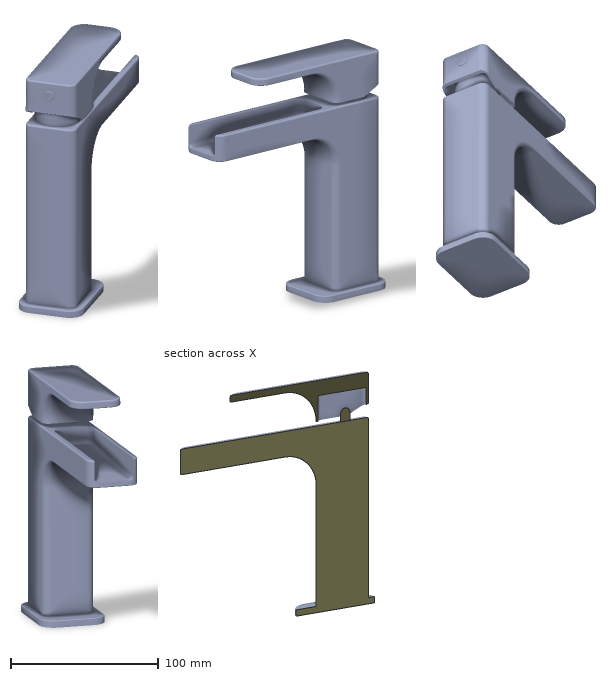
import cadquery as cq
import math


BODY_WIDTH = 36.2
COLUMN_BACK = -18.1
COLUMN_FRONT = 22.7
COLUMN_CORNER_RADIUS = 5.0

PLATE_WIDTH = 46.0
PLATE_BACK = -22.7
PLATE_LENGTH = 60.2
PLATE_HEIGHT = 4.9
PLATE_CORNER_RADIUS = 10.1
PLATE_EDGE_RADIUS = 0.7

BEND_RADIUS = 22.7
BEND_SECTIONS = 9
TOP_EDGE_RADIUS = 1.2
BOTTOM_EDGE_RADIUS = 0.7
CUTTER_MARGIN = 1.7

SPOUT_TIP = 125.8
SPOUT_BOTTOM = 117.2
BODY_TOP = 136.1
SPOUT_TIP_RADIUS = 7.5

CHANNEL_WIDTH = 27.7
CHANNEL_TIP_FLOOR = 120.7
CHANNEL_BACK_FLOOR = 124.8
CHANNEL_BACK = 27.0
CHANNEL_FLOOR_FILLET = 2.9
CHANNEL_END_RADIUS = 6.8

CARTRIDGE_RADIUS = 15.7
CARTRIDGE_SHOULDER = 142.0
CARTRIDGE_TOP = CARTRIDGE_SHOULDER + CARTRIDGE_RADIUS

LEVER_TOP = 169.1
LEVER_TOP_WIDTH = 36.0
LEVER_FOOT_WIDTH = 36.7
LEVER_TIP = 90.0
LEVER_FOOT = 139.0
LEVER_UNDERSIDE = 163.9
LEVER_TIP_RADIUS = 10.1
RELIEF_FRONT = -2.7
RELIEF_TOP = 146.5
SKIRT_SIDE_WALL = 1.4
SKIRT_END_WALL = 2.0
SKIRT_CORNER_RADIUS = 3.4

PLUG_RADIUS = 3.4
PLUG_HEIGHT = 160.0
PLUG_SEAT_DEPTH = 1.4
PLUG_PROUD = 0.5
PLUG_DIMPLE_RADIUS = 2.0
PLUG_DIMPLE_DEPTH = 0.3
PLUG_EDGE_RADIUS = 0.3


def block(width_at, back, front, bottom, top):
    """A block whose half width on either side of X = 0 follows the given function of height."""
    low = width_at(bottom) / 2
    high = width_at(top) / 2
    return (
        cq.Workplane("XZ", origin=(0, back, 0))
        .polyline([(-low, bottom), (low, bottom), (high, top), (-high, top)])
        .close()
        .extrude(back - front)
    )


def corner_gap(plane, radius):
    """The outline between a square corner at the plane's origin and its rounding, padded outwards."""
    inset = radius * (1 - math.sqrt(0.5))
    return (
        cq.Workplane(plane)
        .moveTo(-CUTTER_MARGIN, -CUTTER_MARGIN)
        .lineTo(radius, -CUTTER_MARGIN)
        .lineTo(radius, 0)
        .threePointArc((inset, inset), (0, radius))
        .lineTo(-CUTTER_MARGIN, radius)
        .close()
        .wires()
        .val()
    )


def bend_edge_cutter(width_at, underside):
    """The material outside one rounded edge of a bend, on the -X side.

    The rounding grows steadily from the arm's edge radius to the column's corner radius.
    """
    axis_y = COLUMN_FRONT + BEND_RADIUS
    axis_z = underside - BEND_RADIUS
    sections = []
    for step in range(BEND_SECTIONS):
        share = step / (BEND_SECTIONS - 1)
        angle = share * math.pi / 2
        outward = (0, -math.sin(angle), math.cos(angle))
        y = axis_y + BEND_RADIUS * outward[1]
        z = axis_z + BEND_RADIUS * outward[2]
        along = (0, -outward[2], outward[1])
        plane = cq.Plane(origin=(-width_at(z) / 2, y, z), xDir=(1, 0, 0), normal=along)
        radius = BOTTOM_EDGE_RADIUS + share * (COLUMN_CORNER_RADIUS - BOTTOM_EDGE_RADIUS)
        sections.append(corner_gap(plane, radius))
    return cq.Workplane(cq.Solid.makeLoft(sections))


def make_bend(width_at, underside, top):
    """The web that fills the inside corner between an upright foot and the arm above it."""
    bottom = underside - BEND_RADIUS
    inner = COLUMN_FRONT - COLUMN_CORNER_RADIUS
    outer = COLUMN_FRONT + BEND_RADIUS
    hollow = cq.Workplane("YZ").center(outer, bottom).circle(BEND_RADIUS).extrude(BODY_WIDTH, both=True)
    web = block(width_at, inner, outer, bottom, top).cut(hollow)
    cutter = bend_edge_cutter(width_at, underside)
    return web.cut(cutter).cut(cutter.mirror("YZ"))


def make_elbow(width_at, foot, underside, top, tip, tip_radius):
    """An upright foot carrying a long arm, joined by a bend, with all outer edges rounded."""
    column = block(width_at, COLUMN_BACK, COLUMN_FRONT, foot, top)
    column = column.faces("<Y or >Y").edges("not |X").fillet(COLUMN_CORNER_RADIUS)
    arm = block(width_at, 0, tip, underside, top)
    arm = arm.faces(">Y").edges("not |X").fillet(tip_radius)
    arm = arm.faces("<Z").edges("not <Y").fillet(BOTTOM_EDGE_RADIUS)
    elbow = column.union(arm).union(make_bend(width_at, underside, top)).clean()
    return elbow.faces(">Z").edges().fillet(TOP_EDGE_RADIUS)


def make_plate():
    plate = cq.Workplane("XY").center(0, PLATE_BACK + PLATE_LENGTH / 2).rect(PLATE_WIDTH, PLATE_LENGTH)
    plate = plate.extrude(PLATE_HEIGHT).edges("|Z").fillet(PLATE_CORNER_RADIUS)
    return plate.faces(">Z").edges().fillet(PLATE_EDGE_RADIUS)


def make_channel():
    """The water channel: its floor falls towards the spout tip, where it runs out through the end."""
    top = BODY_TOP + CUTTER_MARGIN
    channel = (
        cq.Workplane("YZ")
        .moveTo(CHANNEL_BACK, CHANNEL_BACK_FLOOR)
        .lineTo(SPOUT_TIP, CHANNEL_TIP_FLOOR)
        .lineTo(SPOUT_TIP, top)
        .lineTo(CHANNEL_BACK, top)
        .close()
        .extrude(CHANNEL_WIDTH / 2, both=True)
    )
    channel = channel.edges("|Z and <Y").fillet(CHANNEL_END_RADIUS)
    return channel.faces("<Z").edges("not >Y").fillet(CHANNEL_FLOOR_FILLET)


def make_body():
    body = make_elbow(
        lambda z: BODY_WIDTH, PLATE_HEIGHT, SPOUT_BOTTOM, BODY_TOP, SPOUT_TIP, SPOUT_TIP_RADIUS
    )
    return body.union(make_plate()).cut(make_channel())


def make_cartridge():
    return (
        cq.Workplane("XZ")
        .moveTo(0, BODY_TOP)
        .lineTo(CARTRIDGE_RADIUS, BODY_TOP)
        .lineTo(CARTRIDGE_RADIUS, CARTRIDGE_SHOULDER)
        .radiusArc((0, CARTRIDGE_TOP), -CARTRIDGE_RADIUS)
        .close()
        .revolve(360, (0, 0, 0), (0, 1, 0))
    )


def lever_width(z):
    share = (LEVER_TOP - z) / (LEVER_TOP - LEVER_FOOT)
    return LEVER_TOP_WIDTH + share * (LEVER_FOOT_WIDTH - LEVER_TOP_WIDTH)


def make_skirt_recess():
    """The pocket in the lever's foot that clears the cartridge."""
    width = LEVER_FOOT_WIDTH - 2 * SKIRT_SIDE_WALL
    length = COLUMN_FRONT - COLUMN_BACK - 2 * SKIRT_END_WALL
    middle = (COLUMN_FRONT + COLUMN_BACK) / 2
    recess = cq.Workplane("XY", origin=(0, middle, LEVER_FOOT)).rect(width, length)
    return recess.extrude(CARTRIDGE_TOP - LEVER_FOOT).edges("|Z").fillet(SKIRT_CORNER_RADIUS)


def make_foot_relief():
    """The wedge under the back of the lever that lets it tilt."""
    return (
        cq.Workplane("YZ")
        .polyline([(RELIEF_FRONT, LEVER_FOOT), (COLUMN_BACK, RELIEF_TOP), (COLUMN_BACK, LEVER_FOOT)])
        .close()
        .extrude(LEVER_FOOT_WIDTH, both=True)
    )


def plug_disc(radius, start, end):
    """A disc along Y on the plug axis, from one Y position to another."""
    return cq.Workplane("XZ", origin=(0, end, PLUG_HEIGHT)).circle(radius).extrude(end - start)


def make_lever():
    lever = make_elbow(
        lever_width, LEVER_FOOT, LEVER_UNDERSIDE, LEVER_TOP, LEVER_TIP, LEVER_TIP_RADIUS
    )
    seat = plug_disc(PLUG_RADIUS, COLUMN_BACK, COLUMN_BACK + PLUG_SEAT_DEPTH)
    return lever.cut(make_skirt_recess()).cut(make_foot_relief()).cut(seat)


def make_plug():
    face = COLUMN_BACK - PLUG_PROUD
    plug = plug_disc(PLUG_RADIUS, face, COLUMN_BACK + PLUG_SEAT_DEPTH)
    plug = plug.faces("<Y").edges().fillet(PLUG_EDGE_RADIUS)
    return plug.cut(plug_disc(PLUG_DIMPLE_RADIUS, face, face + PLUG_DIMPLE_DEPTH))


body = make_body()
cartridge = make_cartridge()
lever = make_lever()
plug = make_plug()
result = cq.Compound.makeCompound([body.val(), cartridge.val(), lever.val(), plug.val()])